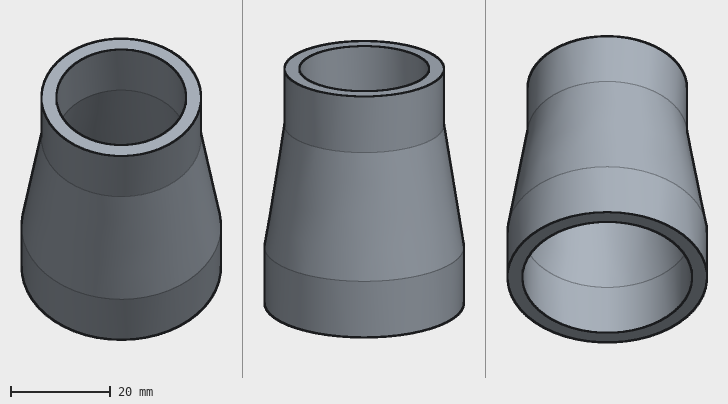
import cadquery as cq

large_outer_diameter = 40.0
small_outer_diameter = 32.0
wall_thickness = 3.0
total_height = 50.0
collar_height = 12.0

large_outer_radius = large_outer_diameter / 2
small_outer_radius = small_outer_diameter / 2
cone_top_z = total_height - collar_height


def reducer_body(large_radius, small_radius):
    """Solid of revolution about Z: wide collar, tapering cone, narrow collar."""
    half_profile = (
        cq.Workplane("XZ")
        .moveTo(0, 0)
        .lineTo(large_radius, 0)
        .lineTo(large_radius, collar_height)
        .lineTo(small_radius, cone_top_z)
        .lineTo(small_radius, total_height)
        .lineTo(0, total_height)
        .close()
    )
    return half_profile.revolve(360, (0, 0, 0), (0, 1, 0))


outer_body = reducer_body(large_outer_radius, small_outer_radius)
passage = reducer_body(large_outer_radius - wall_thickness, small_outer_radius - wall_thickness)

result = outer_body.cut(passage)